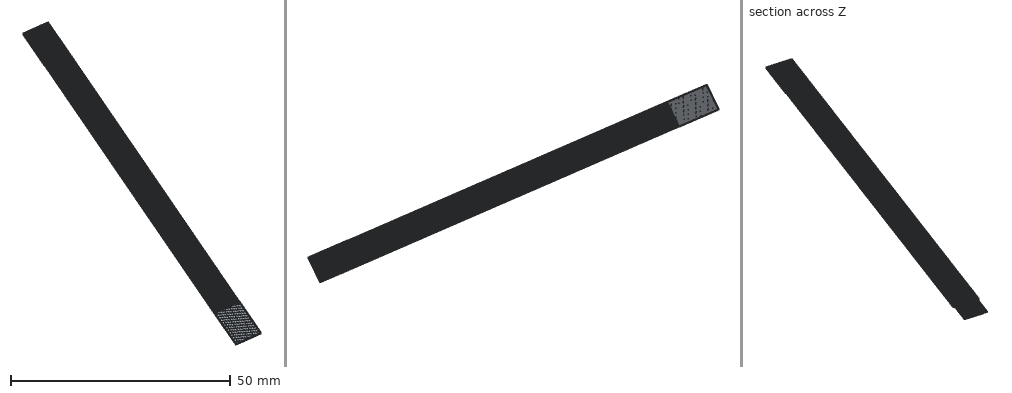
import cadquery as cq

length = 100.0
conductor_count = 12
pitch = 0.5
width = (conductor_count + 1) * pitch
conductor_width = 0.3
total_thickness = 0.59
conductor_thickness = 0.05
film_thickness = 0.04
bared_length = 5.0
stiffener_length = 10.0

core_thickness = conductor_thickness + 2 * film_thickness
stiffener_thickness = (total_thickness - core_thickness) / 2

conductor_top = conductor_thickness / 2
conductor_bottom = -conductor_top
core_top = core_thickness / 2
core_bottom = -core_top
left_end = -length / 2
right_end = length / 2


def slab(x_start, x_end, z_bottom, z_top, y_centre=0.0, y_width=width):
    """Rectangular layer between two X positions and two Z levels."""
    layer = cq.Workplane("XY").box(x_end - x_start, y_width, z_top - z_bottom)
    return layer.translate(((x_start + x_end) / 2, y_centre, (z_bottom + z_top) / 2))


lower_film = slab(left_end, right_end - bared_length, core_bottom, conductor_bottom)
upper_film = slab(left_end + bared_length, right_end, conductor_top, core_top)

lower_stiffener = slab(
    left_end, left_end + stiffener_length, core_bottom - stiffener_thickness, core_bottom
)
upper_stiffener = slab(
    right_end - stiffener_length, right_end, core_top, core_top + stiffener_thickness
)
lower_side = lower_film.union(lower_stiffener)
upper_side = upper_film.union(upper_stiffener)

result = lower_side
first_conductor_y = -(conductor_count - 1) * pitch / 2
for index in range(conductor_count):
    conductor_y = first_conductor_y + index * pitch
    conductor = slab(
        left_end, right_end, conductor_bottom, conductor_top, conductor_y, conductor_width
    )
    result = result.union(conductor)
result = result.union(upper_side)